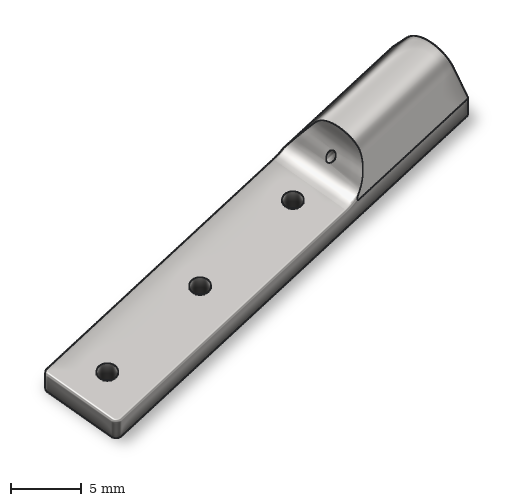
import cadquery as cq
import math

width = 7.0
length = 38.0
plate_thickness = 2.0

barrel_radius = 2.54
barrel_axis_height = 3.0
barrel_length = 10.0
flank_angle = math.radians(60)

scoop_radius = 3.2

screw_hole_diameter = 1.55
screw_hole_pitch = 10.0
screw_hole_count = 3
first_hole_from_front = 3.0
wire_hole_diameter = 0.7

corner_radius = 0.5
edge_radius = 0.25
selection_margin = 0.01

half_width = width / 2
front_y = -length / 2
back_y = length / 2
barrel_top = barrel_axis_height + barrel_radius

tangent_x = barrel_radius * math.sin(flank_angle)
tangent_z = barrel_axis_height + barrel_radius * math.cos(flank_angle)
flank_base_z = tangent_z - (half_width - tangent_x) * math.tan(flank_angle)

scoop_axis_y = back_y - barrel_length - scoop_radius
scoop_axis_z = plate_thickness + scoop_radius


def make_body():
    """Full-length bar with the barrel cross-section."""
    return (
        cq.Workplane("XZ", origin=(0, back_y, 0))
        .moveTo(-half_width, 0)
        .lineTo(half_width, 0)
        .lineTo(half_width, flank_base_z)
        .lineTo(tangent_x, tangent_z)
        .threePointArc((0, barrel_top), (-tangent_x, tangent_z))
        .lineTo(-half_width, flank_base_z)
        .close()
        .extrude(length)
    )


def make_clearance():
    """Everything above the plate in front of the barrel, ending in the round scoop."""
    return (
        cq.Workplane("YZ", origin=(-half_width, 0, 0))
        .moveTo(front_y, plate_thickness)
        .lineTo(scoop_axis_y, plate_thickness)
        .radiusArc((scoop_axis_y + scoop_radius, scoop_axis_z), -scoop_radius)
        .lineTo(scoop_axis_y + scoop_radius, barrel_top)
        .lineTo(front_y, barrel_top)
        .close()
        .extrude(width)
    )


def make_screw_holes():
    """Row of vertical through holes along the plate."""
    centers = [
        (0, front_y + first_hole_from_front + index * screw_hole_pitch)
        for index in range(screw_hole_count)
    ]
    return (
        cq.Workplane("XY")
        .pushPoints(centers)
        .circle(screw_hole_diameter / 2)
        .extrude(plate_thickness)
    )


def make_wire_hole():
    """Small bore through the barrel on its axis."""
    return (
        cq.Workplane("XZ", origin=(0, back_y, barrel_axis_height))
        .circle(wire_hole_diameter / 2)
        .extrude(length)
    )


def round_edges(bar):
    """Round the front corners, the plate's top rim and the back end's profile."""
    rim_selector = cq.selectors.BoxSelector(
        (-width, front_y - corner_radius, plate_thickness - selection_margin),
        (width, scoop_axis_y, plate_thickness + selection_margin),
    )
    bar = bar.edges("|Z and <Y").fillet(corner_radius)
    bar = bar.edges(rim_selector).fillet(edge_radius)
    return bar.faces(">Y").edges("not <Z").fillet(edge_radius)


body = round_edges(make_body().cut(make_clearance()))
result = body.cut(make_screw_holes()).cut(make_wire_hole())